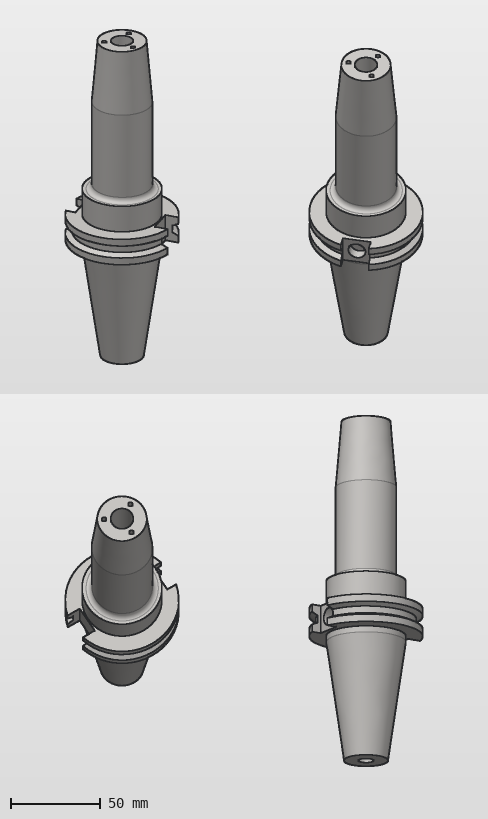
import cadquery as cq

total_height = 195.2
gauge_height = 68.3
gauge_diameter = 44.5
shank_end_diameter = 24.6

flange_diameter = 63.3
flange_bottom = 71.7
flange_thickness = 15.8
groove_diameter = 56.2
groove_floor_width = 4.0
groove_chamfer_height = 1.8

collar_top = 103.3
neck_diameter = 34.0
neck_fillet = 3.1
nose_start = 157.5
nose_diameter = 27.5

slot_width = 15.8
left_slot_floor = 24.8
right_slot_floor = 22.8
slot_hole_diameter = 9.8
slot_hole_depth = 5.9

through_diameter = 8.5
clamp_diameter = 12.5
clamp_depth = 48.8
coolant_diameter = 2.5
coolant_circle_radius = 10.0
coolant_depth = 9.8
coolant_tip_height = 0.8
coolant_angles = (90, 210, 330)

flange_top = flange_bottom + flange_thickness
flange_mid = flange_bottom + flange_thickness / 2


def turned_body():
    gauge_radius = gauge_diameter / 2
    flange_radius = flange_diameter / 2
    groove_radius = groove_diameter / 2
    neck_radius = neck_diameter / 2
    floor_low = flange_mid - groove_floor_width / 2
    floor_high = flange_mid + groove_floor_width / 2
    profile = (
        cq.Workplane("XZ")
        .lineTo(shank_end_diameter / 2, 0)
        .lineTo(gauge_radius, gauge_height)
        .lineTo(gauge_radius, flange_bottom)
        .lineTo(flange_radius, flange_bottom)
        .lineTo(flange_radius, floor_low - groove_chamfer_height)
        .lineTo(groove_radius, floor_low)
        .lineTo(groove_radius, floor_high)
        .lineTo(flange_radius, floor_high + groove_chamfer_height)
        .lineTo(flange_radius, flange_top)
        .lineTo(gauge_radius, flange_top)
        .lineTo(gauge_radius, collar_top)
        .lineTo(neck_radius + neck_fillet, collar_top)
        .radiusArc((neck_radius, collar_top + neck_fillet), neck_fillet)
        .lineTo(neck_radius, nose_start)
        .lineTo(nose_diameter / 2, total_height)
        .lineTo(0, total_height)
        .close()
    )
    return profile.revolve(360, (0, 0, 0), (0, 1, 0))


def drive_slot(side, floor):
    """Slot cutter through the flange; side is -1 or +1 along X."""
    depth = flange_diameter / 2 - floor
    return cq.Workplane("XY").box(depth, slot_width, flange_thickness).translate(
        (side * (floor + depth / 2), 0, flange_mid)
    )


def slot_hole():
    """Blind round hole entering the floor of the -X slot."""
    return (
        cq.Workplane("YZ", origin=(-left_slot_floor, 0, flange_mid))
        .circle(slot_hole_diameter / 2)
        .extrude(slot_hole_depth)
    )


def top_hole(diameter, depth):
    """Cutter on the axis, reaching down from the nose face."""
    return (
        cq.Workplane("XY", origin=(0, 0, total_height - depth))
        .circle(diameter / 2)
        .extrude(depth)
    )


def coolant_hole():
    """Blind drilled hole with a conical bottom, at angle zero on the coolant circle."""
    radius = coolant_diameter / 2
    profile = (
        cq.Workplane("XZ")
        .moveTo(0, total_height)
        .lineTo(radius, total_height)
        .lineTo(radius, total_height - coolant_depth)
        .lineTo(0, total_height - coolant_depth - coolant_tip_height)
        .close()
    )
    drill = profile.revolve(360, (0, 0, 0), (0, 1, 0))
    return drill.translate((coolant_circle_radius, 0, 0))


result = (
    turned_body()
    .cut(drive_slot(-1, left_slot_floor))
    .cut(drive_slot(1, right_slot_floor))
    .cut(slot_hole())
    .cut(top_hole(through_diameter, total_height))
    .cut(top_hole(clamp_diameter, clamp_depth))
)
for angle in coolant_angles:
    result = result.cut(coolant_hole().rotate((0, 0, 0), (0, 0, 1), angle))